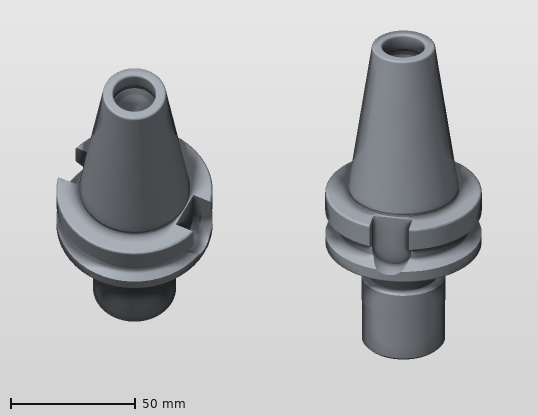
import cadquery as cq
import math


gauge_radius = 44.45 / 2
taper_length = 65.4
taper_ratio = 7 / 24
tip_radius = gauge_radius - taper_length * taper_ratio / 2
tip_fillet = 1.0

relief_radius = 22.0
relief_lead = 0.7
relief_fillet = 0.5

flange_radius = 31.5
flange_top = -2.0
flange_bottom = -27.0
flange_top_fillet = 1.0
flange_bottom_fillet = 1.0

groove_center = -16.6
groove_root_radius = 26.5
groove_root_width = 4.4
groove_half_angle = 30.0
groove_root_fillet = 1.0
groove_mouth_width = groove_root_width + 2 * (flange_radius - groove_root_radius) * math.tan(
    math.radians(groove_half_angle)
)

slot_width = 16.1
slot_floor = 22.5
slot_bottom = -23.5
slot_arc_center = slot_bottom + slot_width / 2

neck_radius = 14.0
neck_fillet = 3.0
nut_top = -40.6
nut_step = -51.8
nut_bottom = -72.0
nut_collar_radius = 17.0
nut_body_radius = 16.75
nut_top_chamfer = 0.8
nut_bottom_chamfer = 1.2

bore_radius = 8.5
bore_depth = 6.5
bore_mouth_fillet = 1.0
drill_radius = 7.0
undercut_radius = 9.0
undercut_lead = 1.2
undercut_depth = 9.2
cone_height = 1.5
drill_tip_angle = 118.0


def make_body():
    """Solid of revolution carrying the taper, flange, neck and nut."""
    groove_upper = groove_center + groove_mouth_width / 2
    groove_lower = groove_center - groove_mouth_width / 2
    outline = [
        (0, taper_length),
        (tip_radius, taper_length),
        (gauge_radius, 0),
        (relief_radius, -relief_lead),
        (relief_radius, flange_top),
        (flange_radius, flange_top),
        (flange_radius, groove_upper),
        (groove_root_radius, groove_center + groove_root_width / 2),
        (groove_root_radius, groove_center - groove_root_width / 2),
        (flange_radius, groove_lower),
        (flange_radius, flange_bottom),
        (neck_radius, flange_bottom),
        (neck_radius, nut_top),
        (nut_collar_radius, nut_top),
        (nut_collar_radius, nut_step),
        (nut_body_radius, nut_step),
        (nut_body_radius, nut_bottom),
        (0, nut_bottom),
    ]
    return cq.Workplane("XZ").polyline(outline).close().revolve(360, (0, 0, 0), (0, 1, 0))


def rim(body, radius, z):
    """Circular edge of the body with the given radius and height."""
    tolerance = 0.01
    corner = radius + tolerance
    lower = (-corner, -corner, z - tolerance)
    upper = (corner, corner, z + tolerance)
    return body.edges(cq.selectors.BoxSelector(lower, upper, boundingbox=True)).edges(
        cq.selectors.RadiusNthSelector(-1)
    )


def finish_rims(body):
    """Round and break the circular edges of the revolved body."""
    root_half = groove_root_width / 2
    fillets = [
        (tip_radius, taper_length, tip_fillet),
        (relief_radius, flange_top, relief_fillet),
        (flange_radius, flange_top, flange_top_fillet),
        (groove_root_radius, groove_center + root_half, groove_root_fillet),
        (groove_root_radius, groove_center - root_half, groove_root_fillet),
        (flange_radius, flange_bottom, flange_bottom_fillet),
        (neck_radius, flange_bottom, neck_fillet),
    ]
    for radius, z, size in fillets:
        body = rim(body, radius, z).fillet(size)
    body = rim(body, nut_collar_radius, nut_top).chamfer(nut_top_chamfer)
    return rim(body, nut_body_radius, nut_bottom).chamfer(nut_bottom_chamfer)


def cut_drive_slots(body):
    """Two round-ended slots, open at the flange top and cut to a flat floor."""
    half_width = slot_width / 2
    slot = (
        cq.Workplane("YZ", origin=(slot_floor, 0, 0))
        .moveTo(-half_width, 0)
        .lineTo(-half_width, slot_arc_center)
        .threePointArc((0, slot_bottom), (half_width, slot_arc_center))
        .lineTo(half_width, 0)
        .close()
        .extrude(flange_radius)
    )
    return body.cut(slot).cut(slot.mirror("YZ"))


def cut_stud_hole(body):
    """Blind hole with an undercut bore, a cone and a drill-point bottom."""
    bore_floor = taper_length - bore_depth
    undercut_floor = taper_length - undercut_depth
    cone_end = undercut_floor - cone_height
    drill_tip = cone_end - drill_radius / math.tan(math.radians(drill_tip_angle / 2))
    outline = [
        (0, taper_length),
        (bore_radius, taper_length),
        (bore_radius, bore_floor),
        (undercut_radius, bore_floor - undercut_lead),
        (undercut_radius, undercut_floor),
        (bore_radius, undercut_floor),
        (drill_radius, cone_end),
        (0, drill_tip),
    ]
    hole = cq.Workplane("XZ").polyline(outline).close().revolve(360, (0, 0, 0), (0, 1, 0))
    body = body.cut(hole)
    return rim(body, bore_radius, taper_length).fillet(bore_mouth_fillet)


result = cut_stud_hole(cut_drive_slots(finish_rims(make_body())))